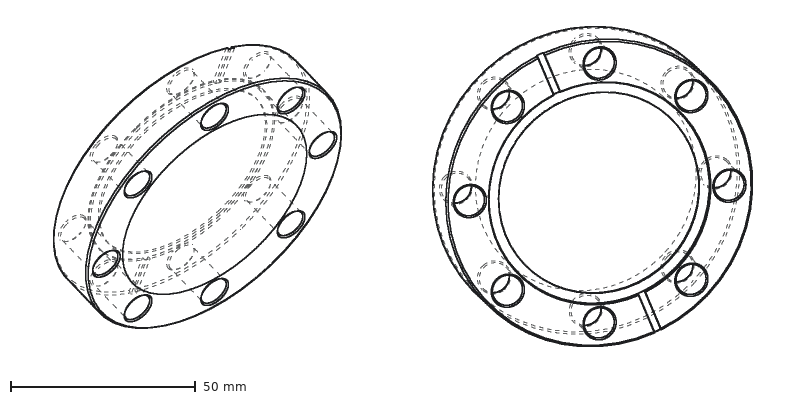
import cadquery as cq

flange_diameter = 85.6
flange_radius = flange_diameter / 2
thickness = 15.8
rim_chamfer = 0.5
bore_radius = 30.8
bore_chamfer = 0.21

bolt_count = 8
bolt_pitch = 360 / bolt_count
bolt_circle_radius = 36.2
bolt_hole_diameter = 8.4
bolt_hole_chamfer = 0.4

groove_width = 2.0
groove_depth = 1.0
groove_angles = [bolt_pitch / 2, bolt_pitch / 2 + 180]

knife_radius = 28.0
knife_tip_depth = 0.6
band_outer_depth = 0.9
floor_depth = 1.3


def make_bolt_ring():
    """Flange ring along +X, with its sealing face at X = 0."""
    ring = (
        cq.Workplane("YZ")
        .circle(flange_radius)
        .extrude(thickness)
        .edges()
        .chamfer(rim_chamfer)
    )
    bore = cq.Workplane("YZ").circle(bore_radius).extrude(thickness)
    ring = ring.cut(bore)
    ring = ring.cut(make_countersink(bore_radius, bore_chamfer))
    ring = cut_bolt_holes(ring)
    return cut_leak_grooves(ring)


def make_countersink(hole_radius, size):
    """45 degree cone that breaks the sealing-face edge of a hole on the X axis."""
    return cq.Workplane(cq.Solid.makeCone(
        hole_radius + size, hole_radius, size, cq.Vector(0, 0, 0), cq.Vector(1, 0, 0)
    ))


def cut_bolt_holes(ring):
    """Circle of through holes, chamfered at both ends."""
    hole_radius = bolt_hole_diameter / 2
    near_countersink = make_countersink(hole_radius, bolt_hole_chamfer)
    far_countersink = near_countersink.mirror("YZ").translate((thickness, 0, 0))
    hole = (
        cq.Workplane("YZ")
        .circle(hole_radius)
        .extrude(thickness)
        .union(near_countersink)
        .union(far_countersink)
        .translate((0, 0, bolt_circle_radius))
    )
    for index in range(bolt_count):
        ring = ring.cut(hole.rotate((0, 0, 0), (1, 0, 0), index * bolt_pitch))
    return ring


def cut_leak_grooves(ring):
    """Radial grooves across the sealing face, from the bore to the rim."""
    groove = cq.Workplane("XY").box(
        groove_depth, groove_width, flange_radius, centered=(False, True, False)
    )
    for angle in groove_angles:
        ring = ring.cut(groove.rotate((0, 0, 0), (1, 0, 0), -angle))
    return ring


def make_sealing_disc():
    """Blank disc filling the bore, turned about the X axis."""
    return (
        cq.Workplane("XY")
        .moveTo(floor_depth, 0)
        .lineTo(floor_depth, knife_radius)
        .lineTo(knife_tip_depth, knife_radius)
        .lineTo(band_outer_depth, bore_radius)
        .lineTo(thickness, bore_radius)
        .lineTo(thickness, 0)
        .close()
        .revolve(360, (0, 0, 0), (1, 0, 0))
    )


bolt_ring = make_bolt_ring()
sealing_disc = make_sealing_disc()

result = cq.Compound.makeCompound([bolt_ring.val(), sealing_disc.val()])